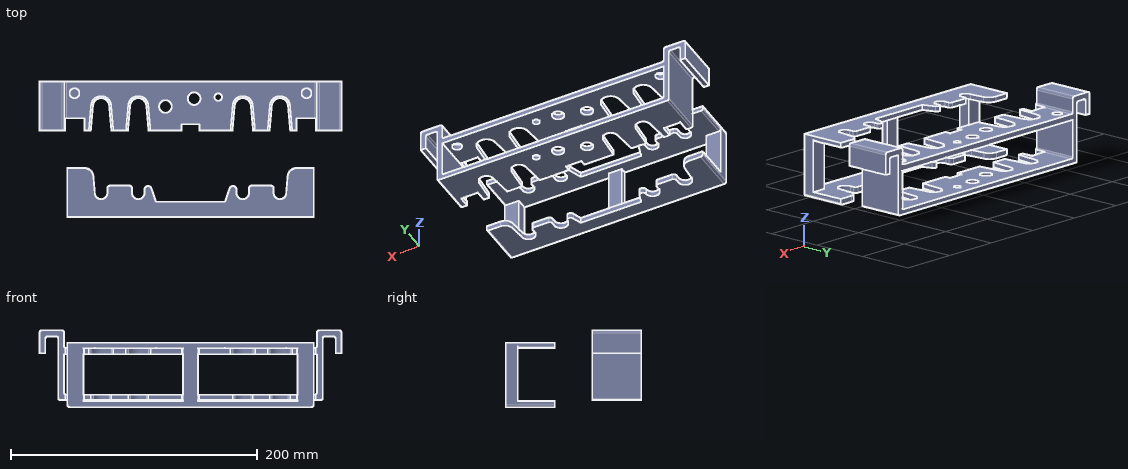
import cadquery as cq
import math

TOTAL_LENGTH = 245.0
TOTAL_DEPTH = 110.0
TOTAL_HEIGHT = 62.5
BODY_DEPTH = 40.0
BRACKET_FRONT = TOTAL_DEPTH - BODY_DEPTH

SLOT_CENTERS = (42.5, 72.5)
SLOT_TAPER = math.radians(5)

FRAME_HALF_LENGTH = 100.0
FRAME_HEIGHT = 52.5
FRAME_WALL = 9.8
POST_DEPTH = 5.5
FRAME_TOP_THICKNESS = 4.5
FRAME_BOTTOM_THICKNESS = 5.1
FRAME_TOP_UNDERSIDE = FRAME_HEIGHT - FRAME_TOP_THICKNESS
WINDOW_INNER = 6.1
WINDOW_OUTER = 86.7
FRAME_BOTTOM_FILLET = 2.0
FRAME_TOP_FILLET = 1.5

UPPER_FRAME_SLOT_RADIUS = 5.02
LOWER_FRAME_SLOT_RADIUS = 6.0
FRAME_SLOT_CENTER_Y = 19.5
END_TAB_RADIUS = 7.5
LAND_Y = 25.7
LAND_RADIUS = 2.5
FINGER_RADIUS = 3.0
FINGER_FOOT_X = 28.0
FINGER_SLOPE = math.radians(19)
MIDDLE_EDGE_Y = 12.5

WALL_INNER = 102.5
WALL_THICKNESS = 5.0
WALL_OUTER = WALL_INNER + WALL_THICKNESS
HOOK_THICKNESS = 5.1
LIP_THICKNESS = 5.0
LIP_BOTTOM = 43.5
HOOK_OUTER_FILLET = 2.0
HOOK_INNER_FILLET = 1.5
BRACKET_BOTTOM = 6.0
LOWER_PLATE_TOP = 10.3
UPPER_PLATE_TOP = 48.0
UPPER_PLATE_BOTTOM = 42.9
PLATE_FILLET = 1.5
BRACKET_BOTTOM_FILLET = 1.5

UPPER_SLOT_RADIUS = 8.2
LOWER_SLOT_RADIUS = 6.5
BRACKET_SLOT_CENTER_Y = 90.0
CORNER_NOTCH_INNER = 86.0
CORNER_NOTCH_OUTER = 101.5
CORNER_NOTCH_DEPTH = 10.0
MIDDLE_NOTCH_WIDTH = 14.2
MIDDLE_NOTCH_DEPTH = 5.1

THROUGH_HOLES = ((-20.3, 89.7, 10.0), (3.0, 96.0, 10.0), (22.5, 97.3, 6.0))
END_HOLE_X = 94.0
END_HOLE_Y = 100.5
END_HOLE_DIAMETER = 8.0


def block(x0, x1, y0, y1, z0, z1):
    """Box between two opposite corners."""
    return cq.Workplane("XY").box(x1 - x0, y1 - y0, z1 - z0, centered=False).translate((x0, y0, z0))


def on_circle(cx, cy, radius, angle):
    return (cx + radius * math.cos(angle), cy + radius * math.sin(angle))


def frame_recess(radius, bottom, top):
    """Right half of the space cut from the rear of one frame plate, with slots of the given radius."""
    near_x, far_x = SLOT_CENTERS
    slot_y = FRAME_SLOT_CENTER_Y
    land_center_y = LAND_Y - LAND_RADIUS
    land_start = near_x + radius
    land_end = far_x - radius

    finger_x = near_x - radius - FINGER_RADIUS
    flank_touch_x = finger_x - FINGER_RADIUS * math.cos(FINGER_SLOPE)
    flank_touch_y = MIDDLE_EDGE_Y + (flank_touch_x - FINGER_FOOT_X) / math.tan(FINGER_SLOPE)
    finger_y = flank_touch_y - FINGER_RADIUS * math.sin(FINGER_SLOPE)

    flank_low = on_circle(far_x, slot_y, radius, SLOT_TAPER)
    tab_center_y = BODY_DEPTH - END_TAB_RADIUS
    tab_touch_y = tab_center_y + END_TAB_RADIUS * math.sin(SLOT_TAPER)
    tab_touch_x = flank_low[0] + (tab_touch_y - flank_low[1]) * math.tan(SLOT_TAPER)
    tab_center_x = tab_touch_x + END_TAB_RADIUS * math.cos(SLOT_TAPER)
    tab_middle = on_circle(tab_center_x, tab_center_y, END_TAB_RADIUS, math.radians(135))

    land_near_middle = on_circle(land_start + LAND_RADIUS, land_center_y, LAND_RADIUS, math.radians(135))
    land_far_middle = on_circle(land_end - LAND_RADIUS, land_center_y, LAND_RADIUS, math.radians(45))

    return (
        cq.Workplane("XY", origin=(0, 0, bottom))
        .moveTo(0, MIDDLE_EDGE_Y)
        .lineTo(FINGER_FOOT_X, MIDDLE_EDGE_Y)
        .lineTo(flank_touch_x, flank_touch_y)
        .threePointArc((finger_x, finger_y + FINGER_RADIUS), (near_x - radius, finger_y))
        .lineTo(near_x - radius, slot_y)
        .threePointArc((near_x, slot_y - radius), (land_start, slot_y))
        .lineTo(land_start, land_center_y)
        .threePointArc(land_near_middle, (land_start + LAND_RADIUS, LAND_Y))
        .lineTo(land_end - LAND_RADIUS, LAND_Y)
        .threePointArc(land_far_middle, (land_end, land_center_y))
        .lineTo(land_end, slot_y)
        .threePointArc((far_x, slot_y - radius), flank_low)
        .lineTo(tab_touch_x, tab_touch_y)
        .threePointArc(tab_middle, (tab_center_x, BODY_DEPTH))
        .lineTo(0, BODY_DEPTH)
        .close()
        .extrude(top - bottom)
    )


def make_frame():
    """C-shaped front frame with two windows and slotted plates."""
    frame = block(-FRAME_HALF_LENGTH, FRAME_HALF_LENGTH, 0, BODY_DEPTH, 0, FRAME_HEIGHT)
    frame = frame.edges("|Y and <Z").fillet(FRAME_BOTTOM_FILLET)

    frame = frame.cut(block(-FRAME_HALF_LENGTH, FRAME_HALF_LENGTH, FRAME_WALL, BODY_DEPTH,
                            FRAME_BOTTOM_THICKNESS, FRAME_TOP_UNDERSIDE))
    underside_ends = cq.selectors.BoxSelector(
        (-TOTAL_LENGTH, FRAME_WALL, FRAME_TOP_UNDERSIDE - FRAME_TOP_FILLET),
        (TOTAL_LENGTH, BODY_DEPTH, FRAME_TOP_UNDERSIDE + FRAME_TOP_FILLET))
    frame = frame.edges("|Y").edges(underside_ends).fillet(FRAME_TOP_FILLET)

    window = block(WINDOW_INNER, WINDOW_OUTER, 0, FRAME_WALL, FRAME_BOTTOM_THICKNESS, FRAME_TOP_UNDERSIDE)
    upper_recess = frame_recess(UPPER_FRAME_SLOT_RADIUS, FRAME_TOP_UNDERSIDE, FRAME_HEIGHT)
    lower_recess = frame_recess(LOWER_FRAME_SLOT_RADIUS, 0, FRAME_BOTTOM_THICKNESS)
    for cutter in (window, upper_recess, lower_recess):
        frame = frame.cut(cutter).cut(cutter.mirror("YZ"))
    return frame.cut(block(-WINDOW_INNER, WINDOW_INNER, POST_DEPTH, FRAME_WALL,
                           FRAME_BOTTOM_THICKNESS, FRAME_TOP_UNDERSIDE))


def make_hook():
    """Right end wall of the bracket, bent over into a hanging hook."""
    half_length = TOTAL_LENGTH / 2
    lip_inner = half_length - LIP_THICKNESS
    hook_underside = TOTAL_HEIGHT - HOOK_THICKNESS
    hook = block(WALL_INNER, half_length, BRACKET_FRONT, TOTAL_DEPTH, BRACKET_BOTTOM, TOTAL_HEIGHT)
    hook = hook.edges("|Y and >Z").fillet(HOOK_OUTER_FILLET)
    gap = block(WALL_OUTER, lip_inner, BRACKET_FRONT, TOTAL_DEPTH, BRACKET_BOTTOM, hook_underside)
    gap = gap.edges("|Y and >Z").fillet(HOOK_INNER_FILLET)
    below_lip = block(lip_inner, half_length, BRACKET_FRONT, TOTAL_DEPTH, BRACKET_BOTTOM, LIP_BOTTOM)
    return hook.cut(gap).cut(below_lip).faces("<Z").edges(">X").fillet(BRACKET_BOTTOM_FILLET)


def plate_corner_fillet(plate_top):
    """Concave strip joining a plate's top to the right end wall."""
    tangent_x = WALL_INNER - PLATE_FILLET
    tangent_z = plate_top + PLATE_FILLET
    middle = on_circle(tangent_x, tangent_z, PLATE_FILLET, math.radians(-45))
    return (
        cq.Workplane("XZ", origin=(0, TOTAL_DEPTH, 0))
        .moveTo(WALL_INNER, plate_top)
        .lineTo(tangent_x, plate_top)
        .threePointArc(middle, (WALL_INNER, tangent_z))
        .close()
        .extrude(BODY_DEPTH)
    )


def bracket_slot(center_x, radius, bottom, top):
    """Round-ended slot that widens toward the bracket's front edge."""
    touch_x, touch_y = on_circle(0, BRACKET_SLOT_CENTER_Y, radius, SLOT_TAPER)
    mouth = touch_x + (touch_y - BRACKET_FRONT) * math.tan(SLOT_TAPER)
    return (
        cq.Workplane("XY", origin=(center_x, 0, bottom))
        .moveTo(-mouth, BRACKET_FRONT)
        .lineTo(mouth, BRACKET_FRONT)
        .lineTo(touch_x, touch_y)
        .threePointArc((0, BRACKET_SLOT_CENTER_Y + radius), (-touch_x, touch_y))
        .close()
        .extrude(top - bottom)
    )


def round_hole(x, y, diameter, bottom, top):
    return cq.Workplane("XY", origin=(x, y, bottom)).circle(diameter / 2).extrude(top - bottom)


def make_bracket():
    """Two slotted plates between end walls that carry the hooks."""
    plates = (
        (BRACKET_BOTTOM, LOWER_PLATE_TOP, LOWER_SLOT_RADIUS),
        (UPPER_PLATE_BOTTOM, UPPER_PLATE_TOP, UPPER_SLOT_RADIUS),
    )
    hook = make_hook()
    bracket = hook
    for bottom, top, _ in plates:
        bracket = bracket.union(block(-WALL_INNER, WALL_INNER, BRACKET_FRONT, TOTAL_DEPTH, bottom, top))
        strip = plate_corner_fillet(top)
        bracket = bracket.union(strip).union(strip.mirror("YZ"))
    bracket = bracket.union(hook.mirror("YZ"))

    for bottom, top, slot_radius in plates:
        for center in SLOT_CENTERS:
            for side in (-1, 1):
                bracket = bracket.cut(bracket_slot(side * center, slot_radius, bottom, top))

    corner_notch = block(CORNER_NOTCH_INNER, CORNER_NOTCH_OUTER, BRACKET_FRONT,
                         BRACKET_FRONT + CORNER_NOTCH_DEPTH, BRACKET_BOTTOM, TOTAL_HEIGHT)
    bracket = bracket.cut(corner_notch).cut(corner_notch.mirror("YZ"))
    bracket = bracket.cut(block(-MIDDLE_NOTCH_WIDTH / 2, MIDDLE_NOTCH_WIDTH / 2, BRACKET_FRONT,
                                BRACKET_FRONT + MIDDLE_NOTCH_DEPTH, BRACKET_BOTTOM, TOTAL_HEIGHT))

    for x, y, diameter in THROUGH_HOLES:
        bracket = bracket.cut(round_hole(x, y, diameter, BRACKET_BOTTOM, UPPER_PLATE_TOP))
    for side in (-1, 1):
        bracket = bracket.cut(round_hole(side * END_HOLE_X, END_HOLE_Y, END_HOLE_DIAMETER,
                                         UPPER_PLATE_BOTTOM, UPPER_PLATE_TOP))
    return bracket


frame = make_frame()
bracket = make_bracket()
result = cq.Compound.makeCompound([frame.val(), bracket.val()])